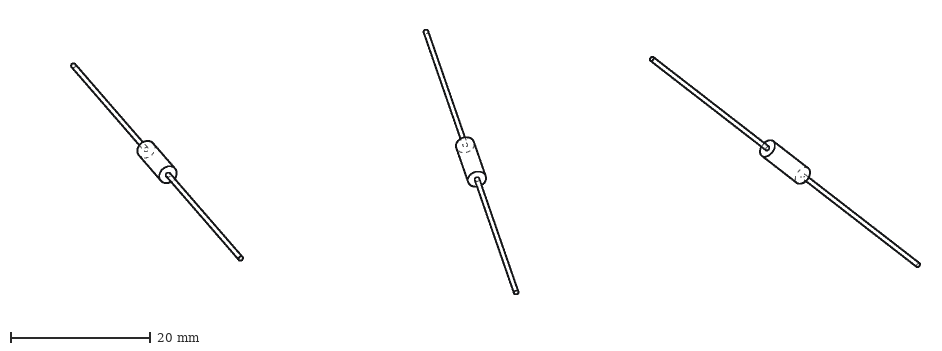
import cadquery as cq

overall_length = 64.5
body_length = 8.5
body_diameter = 2.7
lead_diameter = 0.7
lead_length = (overall_length - body_length) / 2


def make_rod(start_x, length, diameter):
    """Solid cylinder along +X, starting at start_x."""
    return cq.Workplane("YZ", origin=(start_x, 0, 0)).circle(diameter / 2).extrude(length)


body = make_rod(-body_length / 2, body_length, body_diameter)

lead_starts = (-overall_length / 2, body_length / 2)
leads = [make_rod(start_x, lead_length, lead_diameter) for start_x in lead_starts]

result = cq.Compound.makeCompound([body.val(), *[lead.val() for lead in leads]])